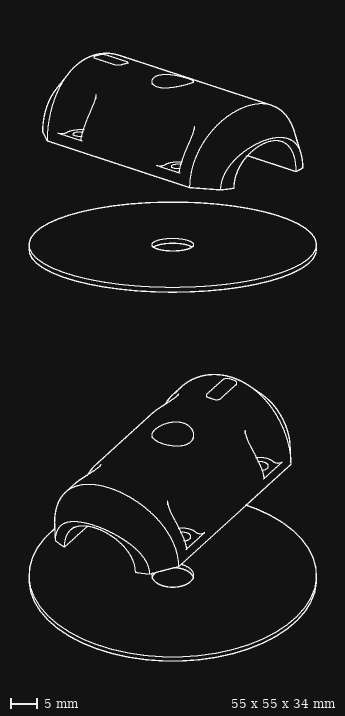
import cadquery as cq
import math

disc_diameter = 55.0
disc_thickness = 1.0
overall_height = 34.0
center_hole_diameter = 8.0

saddle_diameter = 28.0
bore_diameter = 16.0
end_chamfer = 5.5
chamfer_overshoot = 0.2
chamfer_half_sweep = 95.0
chamfer_steps = 12

pocket_spacing_x = 28.0
pocket_spacing_y = 22.0
pocket_diameter = 5.8
pocket_floor_height = 2.2
pocket_rim_fillet = 1.0
rim_search_margin = 0.3
screw_hole_diameter = 3.0

window_length = 7.55
window_width = 3.0
window_corner_radius = 1.0
window_center_x = -17.6

disc_radius = disc_diameter / 2
saddle_radius = saddle_diameter / 2
disc_bottom = saddle_radius - overall_height
pocket_centers = [
    (side_x * pocket_spacing_x / 2, side_y * pocket_spacing_y / 2)
    for side_x in (-1, 1)
    for side_y in (-1, 1)
]


def upright_cylinder(diameter, height, x=0, y=0):
    """Vertical cylinder that stands on the Z = 0 plane."""
    return cq.Workplane("XY").center(x, y).circle(diameter / 2).extrude(height)


def lengthwise_cylinder(diameter):
    """Cylinder along X, centred on the origin and as long as the disc is wide."""
    return cq.Workplane("YZ", origin=(-disc_radius, 0, 0)).circle(diameter / 2).extrude(disc_diameter)


def chamfer_rule(angle):
    """Ends of the straight chamfer line at one angle around the saddle axis, for the +X end.

    A corner point lies one chamfer size inside both the curved side and the end face;
    the line joins its nearest points on these two faces, stretched to overshoot them.
    """
    inner_radius = saddle_radius - end_chamfer
    corner_y = inner_radius * math.sin(angle)
    corner_z = inner_radius * math.cos(angle)
    corner_x = math.sqrt((disc_radius - end_chamfer) ** 2 - corner_y ** 2)
    side_scale = saddle_radius / inner_radius
    end_scale = disc_radius / (disc_radius - end_chamfer)
    on_side = cq.Vector(corner_x, corner_y * side_scale, corner_z * side_scale)
    on_end = cq.Vector(corner_x * end_scale, corner_y * end_scale, corner_z)
    stretch = (on_end - on_side) * chamfer_overshoot
    return on_side - stretch, on_end + stretch


def make_chamfer_face():
    """Ruled face of the +X end chamfer, reaching a little below the underside."""
    angles = [
        math.radians(chamfer_half_sweep * step / chamfer_steps)
        for step in range(-chamfer_steps, chamfer_steps + 1)
    ]
    rules = [chamfer_rule(angle) for angle in angles]
    side_curve = cq.Edge.makeSpline([rule[0] for rule in rules])
    end_curve = cq.Edge.makeSpline([rule[1] for rule in rules])
    return cq.Face.makeRuledSurface(side_curve, end_curve)


def make_half_round():
    """Solid half cylinder trimmed to the disc rim, with its curved end edges chamfered."""
    body = lengthwise_cylinder(saddle_diameter).intersect(upright_cylinder(disc_diameter, saddle_radius))
    chamfer_face = make_chamfer_face()
    for face in (chamfer_face, chamfer_face.mirror("YZ")):
        pieces = body.val().split(face).Solids()
        body = cq.Workplane(max(pieces, key=lambda piece: piece.Volume()))
    return body


def cut_pocket(body, x, y):
    """Cut one pocket that opens through the curved side, and round its rim."""
    body = body.cut(upright_cylinder(pocket_diameter, saddle_radius, x, y))
    reach = pocket_diameter / 2 + rim_search_margin
    rim = cq.selectors.BoxSelector(
        (x - reach, y - reach, pocket_floor_height + rim_search_margin),
        (x + reach, y + reach, saddle_radius),
    )
    return body.edges(rim).edges("not |Z").fillet(pocket_rim_fillet)


def make_saddle():
    """Half tube with four screw pockets, a crown window and a central hole."""
    half_round = make_half_round()
    above_floor = half_round.cut(upright_cylinder(2 * disc_diameter, pocket_floor_height))
    pocketed = above_floor
    for x, y in pocket_centers:
        pocketed = cut_pocket(pocketed, x, y)
    body = half_round.cut(above_floor.cut(pocketed))
    for x, y in pocket_centers:
        body = body.cut(upright_cylinder(screw_hole_diameter, saddle_radius, x, y))
    window = (
        cq.Workplane("XY")
        .center(window_center_x, 0)
        .rect(window_length, window_width)
        .extrude(saddle_radius)
        .edges("|Z")
        .fillet(window_corner_radius)
    )
    body = body.cut(lengthwise_cylinder(bore_diameter))
    return body.cut(window).cut(upright_cylinder(center_hole_diameter, saddle_radius))


def make_disc():
    """Thin round plate with a central hole, spaced below the saddle."""
    plate = upright_cylinder(disc_diameter, disc_thickness)
    plate = plate.cut(upright_cylinder(center_hole_diameter, disc_thickness))
    return plate.translate((0, 0, disc_bottom))


saddle = make_saddle()
disc = make_disc()
result = cq.Compound.makeCompound([saddle.val(), disc.val()])